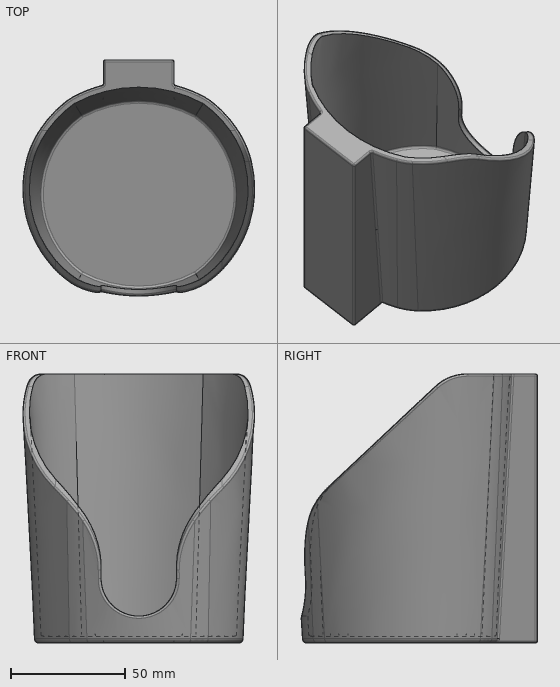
import cadquery as cq
import math

HEIGHT = 118.0
WALL = 3.0
FLOOR_THICKNESS = 3.0
DRAFT_ANGLE = 3.0

SIDE_RADIUS = 45.7
FACE_RADIUS = 55.7
FACE_DISTANCE = 43.9
CORNER_RADIUS = 30.0

BLOCK_WIDTH = 30.9
BLOCK_BACK = 59.1

SLOPE_ANGLE = 43.2
SLOPE_TOP_Y = 20.3
BLEND_RADIUS = 20.1

SLOT_RADIUS = 16.5
SLOT_CENTER_Z = 28.3

EDGE_RADIUS = 1.0
BASE_EDGE_RADIUS = 2.0
FLOOR_EDGE_RADIUS = 1.1

TOUCHING = 0.01
REACH = 70.8


def drafted_cup(inset, base_z, base_edge_radius=0):
    """Solid from base_z up: a cone about the axis, flattened by wider cones at front and back."""
    height = HEIGHT - base_z
    growth = base_z * math.tan(math.radians(DRAFT_ANGLE)) - inset

    def cone(radius, center_y):
        disc = cq.Workplane("XY", origin=(0, center_y, base_z)).circle(radius + growth)
        body = disc.extrude(height, taper=-DRAFT_ANGLE)
        if base_edge_radius:
            body = body.faces("<Z").edges().fillet(base_edge_radius)
        return body

    face_offset = FACE_RADIUS - FACE_DISTANCE
    front_face = cone(FACE_RADIUS, face_offset)
    back_face = cone(FACE_RADIUS, -face_offset)
    return cone(SIDE_RADIUS, 0).intersect(front_face).intersect(back_face)


def make_shell():
    """Outer body, with its four upright corners and its base edge rounded."""
    shell = drafted_cup(inset=0, base_z=0)
    shell = shell.edges("%HYPERBOLA").fillet(CORNER_RADIUS)
    return shell.faces("<Z").edges().fillet(BASE_EDGE_RADIUS)


def make_cavity():
    """Inside of the cup, with a rounded floor edge."""
    return drafted_cup(WALL, FLOOR_THICKNESS, FLOOR_EDGE_RADIUS)


def make_block():
    """Mounting block, reaching from the cup axis to the flat back."""
    block = cq.Workplane("XY").box(BLOCK_WIDTH, BLOCK_BACK, HEIGHT, centered=(True, False, False))
    return block.edges("(>Y and |Z) or (<Z and >Y) or (<Z and |Y)").fillet(EDGE_RADIUS)


def make_slope_cutter():
    """Everything above the slope, which curves into the top plane at its upper end."""
    slope = math.radians(SLOPE_ANGLE)
    run = SLOPE_TOP_Y + REACH
    tangent = BLEND_RADIUS * math.tan(slope / 2)
    arc_start_y = SLOPE_TOP_Y + tangent
    arc_mid = (
        arc_start_y - BLEND_RADIUS * math.sin(slope / 2),
        HEIGHT - BLEND_RADIUS * (1 - math.cos(slope / 2)),
    )
    arc_end = (SLOPE_TOP_Y - tangent * math.cos(slope), HEIGHT - tangent * math.sin(slope))
    return (
        cq.Workplane("YZ")
        .moveTo(arc_start_y, HEIGHT)
        .threePointArc(arc_mid, arc_end)
        .lineTo(-REACH, HEIGHT - run * math.tan(slope))
        .lineTo(-REACH, HEIGHT + REACH)
        .lineTo(arc_start_y, HEIGHT + REACH)
        .close()
        .extrude(REACH, both=True)
    )


def make_slot_cutter():
    """Round-bottomed slot through the front wall, open up to the slope."""
    slot_top = HEIGHT - SLOPE_TOP_Y * math.tan(math.radians(SLOPE_ANGLE))
    return (
        cq.Workplane("XZ")
        .moveTo(-SLOT_RADIUS, slot_top)
        .lineTo(-SLOT_RADIUS, SLOT_CENTER_Z)
        .threePointArc((0, SLOT_CENTER_Z - SLOT_RADIUS), (SLOT_RADIUS, SLOT_CENTER_Z))
        .lineTo(SLOT_RADIUS, slot_top)
        .close()
        .extrude(REACH)
    )


def make_flare_cutter():
    """Trumpet-shaped channel along the slope that rounds it into the slot sides."""
    half_width = SLOT_RADIUS + BLEND_RADIUS
    bend = BLEND_RADIUS * (1 - math.sqrt(0.5))
    slope = math.radians(SLOPE_ANGLE)
    top_of_channel = cq.Plane(
        origin=(0, 0, HEIGHT - SLOPE_TOP_Y * math.tan(slope)),
        xDir=(1, 0, 0),
        normal=(0, -math.cos(slope), -math.sin(slope)),
    )
    return (
        cq.Workplane(top_of_channel)
        .moveTo(-half_width, 0)
        .threePointArc((-SLOT_RADIUS - bend, -bend), (-SLOT_RADIUS, -BLEND_RADIUS))
        .lineTo(SLOT_RADIUS, -BLEND_RADIUS)
        .threePointArc((SLOT_RADIUS + bend, -bend), (half_width, 0))
        .close()
        .extrude(2 * REACH)
    )


def make_opening():
    """Everything taken away above the rim: the space over the top, the slope and the slot."""
    above = cq.Workplane("XY", origin=(0, 0, HEIGHT)).box(2 * REACH, 2 * REACH, REACH, (True, True, False))
    return above.union(make_slope_cutter()).union(make_slot_cutter()).union(make_flare_cutter())


def outer_rim_edges(body, opening, cavity):
    """Edges that run along the opening on the outside, clear of the cavity."""

    def runs_along_opening(edge):
        middle = cq.Vertex.makeVertex(*edge.positionAt(0.5).toTuple())
        return middle.distance(opening.val()) < TOUCHING

    def clear_of_cavity(edge):
        return edge.distance(cavity.val()) > TOUCHING

    return [edge for edge in body.edges().vals() if runs_along_opening(edge) and clear_of_cavity(edge)]


def make_holder():
    """Cup and mounting block in one piece, open at the top and front."""
    cavity = make_cavity()
    opening = make_opening()
    holder = make_shell().union(make_block())
    holder = holder.edges("%HYPERBOLA").fillet(EDGE_RADIUS)
    holder = holder.cut(cavity).cut(opening)
    return holder.newObject(outer_rim_edges(holder, opening, cavity)).fillet(EDGE_RADIUS)


holder = make_holder()
result = cq.Compound.makeCompound([holder.val()])